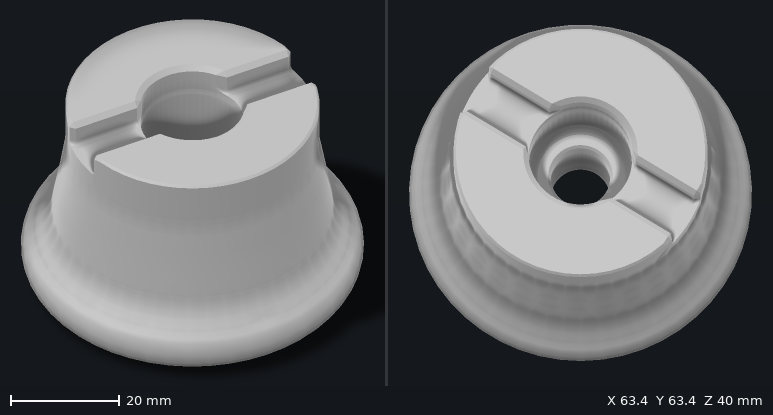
import cadquery as cq
import math

outer_diameter = 63.4
height = 40.0

rim_radius = 5.0
rim_center_r = outer_diameter / 2 - rim_radius
blend_r = 29.35
blend_z = 9.25
rim_angles = (40, 20, 0, -30, -60, -90)

neck_radius = 47.0 / 2
neck_bottom_z = 31.7
neck_chamfer = 0.45
cone_top_r = 23.8
cone_top_z = 28.2
cone_bottom_r = 26.05
cone_bottom_z = 15.0
flare_r = 27.8
flare_z = 11.2

bore_mouth_radius = 19.3 / 2
bore_radius = 19.0 / 2
bore_chamfer = 0.95
mouth_bottom_z = height - 5.2
mouth_taper_height = 1.15
bore_bottom_z = 20.3
seat_cone_radius = 16.75 / 2
floor_radius = 16.0 / 2
floor_taper_height = 0.25
hole_radius = 11.0 / 2
hole_chamfer = 0.5

slot_width = 8.3
slot_depth = 4.8
slot_chamfer = 0.95
slot_floor_fillet = 0.8
flare_outer_y = 22.1
flare_inner_y = 9.3
flare_length = 1.9
slot_overrun = 0.65
end_chamfer_span = 15.2


def make_cutting_ring():
    rim_points = [
        (
            rim_center_r + rim_radius * math.cos(math.radians(angle)),
            rim_radius + rim_radius * math.sin(math.radians(angle)),
        )
        for angle in rim_angles
    ]
    flare_direction = (blend_r - flare_r, blend_z - flare_z)
    return (
        cq.Workplane("XZ")
        .moveTo(flare_r, flare_z)
        .spline([(blend_r, blend_z)] + rim_points, tangents=[flare_direction, (-1, 0)], includeCurrent=True)
        .lineTo(rim_center_r, flare_z)
        .close()
        .revolve(360, (0, 0, 0), (0, 1, 0))
    )


def make_holder_blank():
    return (
        cq.Workplane("XZ")
        .lineTo(0, height)
        .lineTo(neck_radius - neck_chamfer, height)
        .lineTo(neck_radius, height - neck_chamfer)
        .lineTo(neck_radius, neck_bottom_z)
        .tangentArcPoint((cone_top_r, cone_top_z), relative=False)
        .lineTo(cone_bottom_r, cone_bottom_z)
        .tangentArcPoint((flare_r, flare_z), relative=False)
        .lineTo(rim_center_r, flare_z)
        .lineTo(rim_center_r, 0)
        .close()
        .revolve(360, (0, 0, 0), (0, 1, 0))
    )


def make_bore():
    seat_cone_z = bore_bottom_z - (bore_radius - seat_cone_radius)
    floor_z = seat_cone_z - floor_taper_height
    points = [
        (0, 0),
        (hole_radius, 0),
        (hole_radius, floor_z - hole_chamfer),
        (hole_radius + hole_chamfer, floor_z),
        (floor_radius, floor_z),
        (seat_cone_radius, seat_cone_z),
        (bore_radius, bore_bottom_z),
        (bore_radius, mouth_bottom_z - mouth_taper_height),
        (bore_mouth_radius, mouth_bottom_z),
        (bore_mouth_radius, height - bore_chamfer),
        (bore_mouth_radius + bore_chamfer, height),
        (0, height),
    ]
    return cq.Workplane("XZ").polyline(points).close().revolve(360, (0, 0, 0), (0, 1, 0))


def slot_section(y, widening=0.0):
    """Slot outline at the given Y, with each wall moved outward by the widening."""
    half = slot_width / 2 + widening
    floor_z = height - slot_depth
    bend = slot_floor_fillet * (1 - math.sqrt(0.5))
    return (
        cq.Workplane("XZ", origin=(0, y, 0))
        .moveTo(-half - slot_chamfer, height)
        .lineTo(-half, height - slot_chamfer)
        .lineTo(-half, floor_z + slot_floor_fillet)
        .threePointArc((-half + bend, floor_z + bend), (-half + slot_floor_fillet, floor_z))
        .lineTo(half - slot_floor_fillet, floor_z)
        .threePointArc((half - bend, floor_z + bend), (half, floor_z + slot_floor_fillet))
        .lineTo(half, height - slot_chamfer)
        .lineTo(half + slot_chamfer, height)
        .close()
        .val()
    )


def make_slot_flare(start_y, end_y):
    """Slot stretch whose walls spread at 45 degrees, breaking the wall's end corner."""
    sections = [slot_section(start_y), slot_section(end_y, abs(end_y - start_y))]
    return cq.Workplane(cq.Solid.makeLoft(sections, True))


def make_end_chamfer(side):
    """Sloping cut that breaks the top edge at one mouth of the slot."""
    return (
        cq.Workplane("YZ")
        .polyline([
            (side * flare_outer_y, height),
            (side * (flare_outer_y + flare_length), height),
            (side * (flare_outer_y + flare_length), height - flare_length),
        ])
        .close()
        .extrude(end_chamfer_span / 2, both=True)
    )


def make_holder():
    holder = make_holder_blank().cut(make_bore())
    slot_end_y = neck_radius + slot_overrun
    straight_slot = cq.Solid.makeLoft([slot_section(-slot_end_y), slot_section(slot_end_y)], True)
    holder = holder.cut(cq.Workplane(straight_slot))
    for side in (-1, 1):
        outer_flare = make_slot_flare(side * flare_outer_y, side * (flare_outer_y + flare_length))
        inner_flare = make_slot_flare(side * flare_inner_y, side * (flare_inner_y - flare_length))
        holder = holder.cut(outer_flare).cut(inner_flare).cut(make_end_chamfer(side))
    return holder


holder = make_holder()
cutting_ring = make_cutting_ring()

result = cq.Compound.makeCompound([holder.solids().val(), cutting_ring.val()])